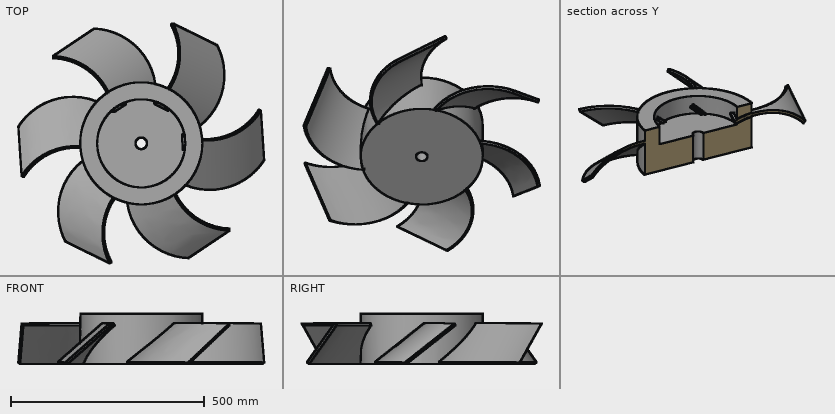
import cadquery as cq
import math

HUB_DIAMETER = 315.0
HUB_HEIGHT = 130.0
RECESS_DIAMETER = 227.5
RECESS_DEPTH = 51.0
SHAFT_HOLE_DIAMETER = 29.0

BLADE_COUNT = 6
LOOSE_BLADE_COUNT = 3
BLADE_AZIMUTH = 3.8
BLADE_SLOPE = 38.2
BLADE_WIDTH = 162.0
BLADE_THICKNESS = 7.5
BLADE_ROOT = 108.0
BLADE_TIP = 309.0
ARC_RADIUS = 159.0
ARC_CENTER_SPAN = 179.0
ARC_CENTER_SIDE = 27.0


def arc_side(span):
    """Sideways position of the blade's lower edge at a distance along its span."""
    return ARC_CENTER_SIDE - math.sqrt(ARC_RADIUS**2 - (span - ARC_CENTER_SPAN) ** 2)


def make_blade(index):
    """Slide the lower arc edge up the slope into a face, then thicken it along its normal."""
    slope = math.radians(BLADE_SLOPE)
    up_slope = cq.Vector(0, math.cos(slope), math.sin(slope)) * BLADE_WIDTH
    skin_shift = BLADE_THICKNESS * math.sin(slope)

    spans = (BLADE_ROOT, ARC_CENTER_SPAN, BLADE_TIP)
    edge_points = [cq.Vector(span, arc_side(span) + skin_shift, 0) for span in spans]
    lower_edge = cq.Edge.makeThreePointArc(*edge_points)
    skin = cq.Face.makeRuledSurface(lower_edge, lower_edge.moved(cq.Location(up_slope)))
    plate = skin.thicken(BLADE_THICKNESS)

    azimuth = BLADE_AZIMUTH + index * 360 / BLADE_COUNT
    return cq.Workplane(plate).rotate((0, 0, 0), (0, 0, 1), azimuth)


def make_hub(fixed_blades, loose_blades):
    """Drum with the fixed blades joined on and slots for the loose blades."""
    hub = cq.Workplane().circle(HUB_DIAMETER / 2).extrude(HUB_HEIGHT)
    for blade in fixed_blades:
        hub = hub.union(blade)

    recess = (
        cq.Workplane()
        .workplane(offset=HUB_HEIGHT - RECESS_DEPTH)
        .circle(RECESS_DIAMETER / 2)
        .extrude(RECESS_DEPTH)
    )
    shaft_hole = cq.Workplane().circle(SHAFT_HOLE_DIAMETER / 2).extrude(HUB_HEIGHT)
    hub = hub.cut(recess).cut(shaft_hole)

    for blade in loose_blades:
        hub = hub.cut(blade)
    return hub


loose_blades = [make_blade(index) for index in range(LOOSE_BLADE_COUNT)]
fixed_blades = [make_blade(index) for index in range(LOOSE_BLADE_COUNT, BLADE_COUNT)]
hub = make_hub(fixed_blades, loose_blades)

result = cq.Compound.makeCompound([*hub.solids().vals(), *[blade.val() for blade in loose_blades]])